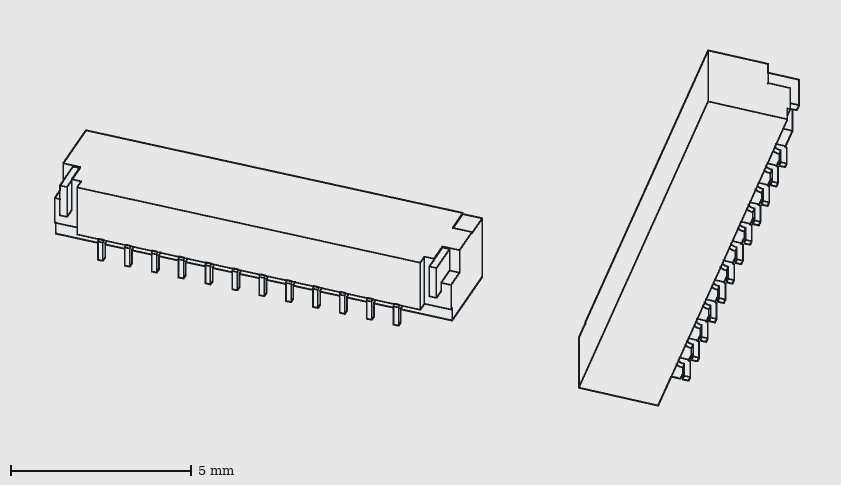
import cadquery as cq

housing_length = 11.8
housing_height = 2.01
total_depth = 2.75
back_y = total_depth / 2
pin_front_y = -total_depth / 2
pin_protrusion = 0.04
front_y = pin_front_y + pin_protrusion
foot_depth = 2.31
foot_height = 0.42
foot_front_y = back_y - foot_depth

shoulder_width = 0.79
shoulder_depth = 2.4
shoulder_front_y = back_y - shoulder_depth

notch_setback = 1.75
notch_back_y = back_y - notch_setback
notch_floor_z = 1.25
tab_outer_inset = 0.3
tab_thickness = 0.21
tab_bottom_z = 0.97
tab_top_drop = 0.04
tab_top_z = housing_height - tab_top_drop
notch_width = tab_outer_inset + tab_thickness

mark_length = 0.58
mark_depth_y = 0.79
mark_sink = 0.04

pin_count = 12
pin_row_span = 8.8
pin_pitch = pin_row_span / (pin_count - 1)
pin_width = 0.15
pin_thickness = 0.18
pin_bottom_z = -0.25
pin_chamfer = 0.06
pin_bend_radius = 0.2
pin_bend_offset = 0.02


def block(x_range, y_range, z_range):
    """Box between the given lower and upper limits on each axis."""
    size = [high - low for low, high in (x_range, y_range, z_range)]
    corner = (x_range[0], y_range[0], z_range[0])
    return cq.Workplane("XY").box(*size, centered=False).translate(corner)


def mirrored_pair(body):
    """The body together with its mirror image at the other end."""
    return body.union(body.mirror("YZ"))


def make_housing():
    half_length = housing_length / 2
    profile = [
        (back_y, 0),
        (back_y, housing_height),
        (front_y, housing_height),
        (front_y, foot_height),
        (foot_front_y, foot_height),
        (foot_front_y, 0),
    ]
    body = cq.Workplane("YZ").polyline(profile).close().extrude(half_length, both=True)
    shoulder = block(
        (-half_length, shoulder_width - half_length),
        (front_y, shoulder_front_y),
        (foot_height, housing_height),
    )
    notch = block(
        (-half_length, notch_width - half_length),
        (front_y, notch_back_y),
        (notch_floor_z, housing_height),
    )
    mark = block(
        (half_length - mark_length, half_length),
        (back_y - mark_depth_y, back_y),
        (housing_height - mark_sink, housing_height),
    )
    return body.cut(mirrored_pair(shoulder.union(notch))).cut(mark)


def make_tab():
    outer_x = tab_outer_inset - housing_length / 2
    return block(
        (outer_x, outer_x + tab_thickness),
        (pin_front_y, notch_back_y),
        (tab_bottom_z, tab_top_z),
    )


def make_pin():
    """Pin hanging from the housing overhang, rounded behind the leg and chamfered in front."""
    leg_back_y = pin_front_y + pin_thickness
    bend_y = leg_back_y + pin_bend_offset
    bend_bottom_z = foot_height - pin_bend_radius
    profile = (
        cq.Workplane("YZ")
        .moveTo(pin_front_y, pin_bottom_z)
        .lineTo(pin_front_y, foot_height - pin_chamfer)
        .lineTo(pin_front_y + pin_chamfer, foot_height)
        .lineTo(bend_y + pin_bend_radius, foot_height)
        .radiusArc((bend_y, bend_bottom_z), pin_bend_radius)
        .lineTo(leg_back_y, bend_bottom_z)
        .lineTo(leg_back_y, pin_bottom_z)
        .close()
    )
    return profile.extrude(pin_width / 2, both=True)


result = make_housing().union(mirrored_pair(make_tab()))
pin = make_pin()
for index in range(pin_count):
    pin_x = index * pin_pitch - pin_row_span / 2
    result = result.union(pin.translate((pin_x, 0, 0)))